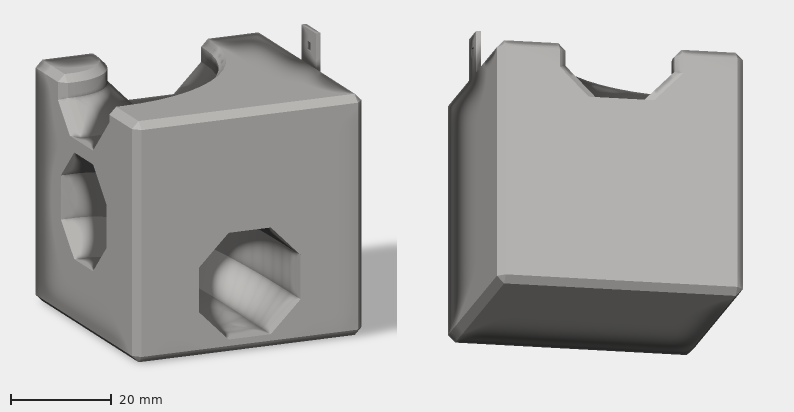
import cadquery as cq
import math

side = 50.0
bevel = 1.5

passage_radius = 11.95
half_side_angle = 22.5
lead_in = 3.0
flat_distance = passage_radius * math.cos(math.radians(half_side_angle))
middle = side / 2
bend_radius = middle - lead_in
tunnel_drop = 11.1
tunnel_stations = 12

total_height = 57.0
tab_width = 7.0
tab_thickness = 1.0
tab_root = 3.0
tab_hole = 1.8

tolerance = 0.005


def octagon(plane):
    """Octagon wire with two sides parallel to each axis of the plane."""
    wire = cq.Workplane(plane).polygon(8, 2 * passage_radius).val()
    return wire.rotate(plane.origin, plane.origin + plane.zDir, half_side_angle)


def open_channel():
    """Quarter bend in the top face, from the front face to the left face."""
    start = cq.Plane(origin=(middle, 0, side), xDir=(1, 0, 0), normal=(0, 1, 0))
    path = (
        cq.Workplane("XY", origin=(0, 0, side))
        .moveTo(middle, 0)
        .lineTo(middle, lead_in)
        .radiusArc((lead_in, middle), -bend_radius)
        .lineTo(0, middle)
    )
    return cq.Workplane(start).add(octagon(start)).toPending().sweep(path)


def tunnel_plane(fraction):
    """Upright section plane of the descending bend, whose fall eases in and out."""
    angle = fraction * math.pi / 2
    fall = tunnel_drop * (1 - math.cos(math.pi * fraction)) / 2
    center = (
        side - lead_in - bend_radius * math.cos(angle),
        lead_in + bend_radius * math.sin(angle),
        middle - fall,
    )
    return cq.Plane(
        origin=center,
        xDir=(math.cos(angle), -math.sin(angle), 0),
        normal=(math.sin(angle), math.cos(angle), 0),
    )


def tunnel():
    """Descending quarter bend from the front face to the right face."""
    planes = [tunnel_plane(i / tunnel_stations) for i in range(tunnel_stations + 1)]
    front = cq.Plane(origin=(middle, 0, middle), xDir=(1, 0, 0), normal=(0, 1, 0))
    right = cq.Plane(origin=(side, middle, middle - tunnel_drop), xDir=(0, -1, 0), normal=(1, 0, 0))
    planes = [front, *planes, right]
    return cq.Workplane(cq.Solid.makeLoft([octagon(plane) for plane in planes]))


def on_outer_plane(coordinate):
    return min(abs(coordinate), abs(coordinate - side)) < tolerance


def is_bevelled(edge):
    """Outer edges only: no channel floor edge, creases or outer slope on the front face."""
    box = edge.BoundingBox()
    on_left_or_right = box.xlen < tolerance and on_outer_plane(box.xmin)
    on_front = box.ylen < tolerance and abs(box.ymin) < tolerance
    on_back = box.ylen < tolerance and abs(box.ymin - side) < tolerance
    on_top_or_bottom = box.zlen < tolerance and on_outer_plane(box.zmin)
    on_outer_face = on_left_or_right or on_front or on_back or on_top_or_bottom

    center = edge.Center()
    on_channel_floor = abs(center.z - (side - flat_distance)) < tolerance
    is_sloped = box.xlen > tolerance and box.zlen > tolerance
    is_front_outer_slope = on_front and is_sloped and center.x > middle
    return on_outer_face and not on_channel_floor and not is_front_outer_slope


def tab():
    """Upright plate, rooted in the back wall, with a square hole."""
    tab_height = total_height - side + tab_root
    plate = cq.Workplane("XY").box(tab_width, tab_thickness, tab_height, centered=(True, False, False))
    plate = plate.translate((middle, side - tab_thickness, side - tab_root))
    hole = cq.Workplane("XY").box(tab_hole, 4 * tab_thickness, tab_hole)
    return plate.cut(hole.translate((middle, side, (side + total_height) / 2)))


block = cq.Workplane("XY").box(side, side, side, centered=False).cut(open_channel())
bevelled_edges = [edge for edge in block.edges().vals() if is_bevelled(edge)]
block = block.newObject(bevelled_edges).chamfer(bevel)
result = block.cut(tunnel()).union(tab())